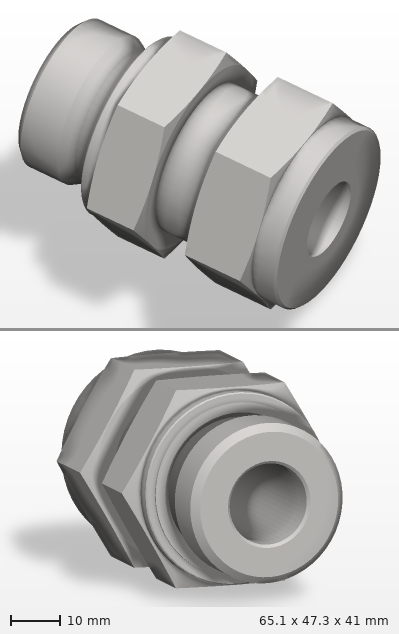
import cadquery as cq
import math


TAPER_START = 10.3
NECK_START = 13.5
SEAL_FACE = 17.5
FLANGE_FACE = 18.0
NECK_END = 18.6
BODY_HEX_START = 20.95
BODY_HEX_END = 33.9
NUT_START = 44.45
NUT_HEX_END = 59.45
OVERALL_LENGTH = 65.1

BORE_RADIUS = 8.4
NECK_RADIUS = 14.8
UNDERCUT_RADIUS = 15.9
BARREL_RADIUS = 16.6
SEAL_RADIUS = 18.0
FLANGE_RADIUS = 19.9
COLLAR_RADIUS = 20.3

HEX_ACROSS_FLATS = 41.0
HEX_ACROSS_CORNERS = HEX_ACROSS_FLATS / math.cos(math.radians(30))
HEX_FRONT_RADIUS = 20.3
HEX_REAR_RADIUS = HEX_ACROSS_FLATS / 2
HEX_CHAMFER_ANGLE = 15.0

STUD_CHAMFER = 1.55
BORE_CHAMFER = 0.6
FLANGE_CHAMFER = 0.25
COLLAR_CHAMFER = 0.5


def revolved(profile):
    """Solid of revolution about X from (x, radius) points."""
    return cq.Workplane("XY").polyline(profile).close().revolve(360, (0, 0, 0), (1, 0, 0))


def cylinder(start, end, radius):
    """Plain cylinder on the X axis between two X positions."""
    return cq.Workplane("YZ", origin=(start, 0, 0)).circle(radius).extrude(end - start)


def chamfered_hexagon(start, end):
    """Hexagonal prism along X whose corners are trimmed by a cone at each end."""
    prism = (
        cq.Workplane("YZ", origin=(start, 0, 0))
        .polygon(6, HEX_ACROSS_CORNERS)
        .extrude(end - start)
    )
    corner_radius = HEX_ACROSS_CORNERS / 2
    slope = math.tan(math.radians(HEX_CHAMFER_ANGLE))
    envelope = revolved([
        (start, 0),
        (start, HEX_FRONT_RADIUS),
        (start + (corner_radius - HEX_FRONT_RADIUS) * slope, corner_radius),
        (end - (corner_radius - HEX_REAR_RADIUS) * slope, corner_radius),
        (end, HEX_REAR_RADIUS),
        (end, 0),
    ])
    return prism.intersect(envelope)


def make_body():
    """Stud, sealing flange, hexagon and barrel, with one bore through all of them."""
    turned = revolved([
        (0, 0),
        (0, BARREL_RADIUS - STUD_CHAMFER),
        (STUD_CHAMFER, BARREL_RADIUS),
        (TAPER_START, BARREL_RADIUS),
        (NECK_START, NECK_RADIUS),
        (NECK_END, NECK_RADIUS),
        (SEAL_FACE, UNDERCUT_RADIUS),
        (SEAL_FACE, SEAL_RADIUS),
        (FLANGE_FACE, SEAL_RADIUS),
        (FLANGE_FACE, FLANGE_RADIUS - FLANGE_CHAMFER),
        (FLANGE_FACE + FLANGE_CHAMFER, FLANGE_RADIUS),
        (BODY_HEX_START, FLANGE_RADIUS),
        (BODY_HEX_START, BARREL_RADIUS),
        (OVERALL_LENGTH, BARREL_RADIUS),
        (OVERALL_LENGTH, 0),
    ])
    bore = revolved([
        (0, 0),
        (0, BORE_RADIUS + BORE_CHAMFER),
        (BORE_CHAMFER, BORE_RADIUS),
        (OVERALL_LENGTH, BORE_RADIUS),
        (OVERALL_LENGTH, 0),
    ])
    return turned.union(chamfered_hexagon(BODY_HEX_START, BODY_HEX_END)).cut(bore)


def make_nut():
    """Hexagon with a round collar behind it, fitting closely over the barrel."""
    collar = cylinder(NUT_HEX_END, OVERALL_LENGTH, COLLAR_RADIUS).faces(">X").chamfer(COLLAR_CHAMFER)
    barrel_hole = cylinder(NUT_START, OVERALL_LENGTH, BARREL_RADIUS)
    return chamfered_hexagon(NUT_START, NUT_HEX_END).union(collar).cut(barrel_hole)


body = make_body()
nut = make_nut()

result = cq.Compound.makeCompound([body.val(), nut.val()])